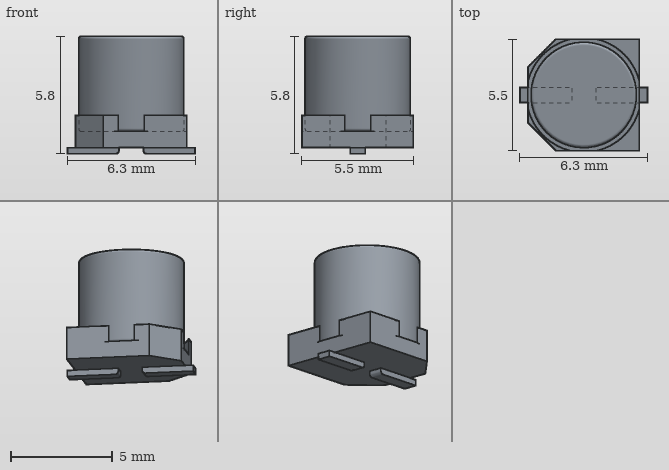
import cadquery as cq

base_size = 5.5
base_height = 1.6
corner_cut = base_size / 4
pocket_diameter = 5.65
pocket_depth = base_height / 2

can_diameter = 5.2
rim_radius = 0.15

overall_length = 6.3
overall_height = 5.8
lead_thickness = 0.3
lead_width = 0.75
lead_gap = 1.2
lead_tip_radius = lead_thickness / 2

base_bottom = lead_thickness
base_top = base_bottom + base_height
pocket_floor = base_top - pocket_depth
can_height = overall_height - pocket_floor


def make_base():
    plate = (
        cq.Workplane("XY")
        .workplane(offset=base_bottom)
        .rect(base_size, base_size)
        .extrude(base_height)
        .edges("|Z and <X")
        .chamfer(corner_cut)
    )
    pocket = (
        cq.Workplane("XY")
        .workplane(offset=pocket_floor)
        .circle(pocket_diameter / 2)
        .extrude(pocket_depth)
    )
    return plate.cut(pocket)


def make_can():
    return (
        cq.Workplane("XY")
        .workplane(offset=pocket_floor)
        .circle(can_diameter / 2)
        .extrude(can_height)
        .edges()
        .fillet(rim_radius)
    )


def make_lead(side):
    """Lead strip on the -X side (side = -1) or the +X side (side = 1)."""
    length = (overall_length - lead_gap) / 2
    center_x = side * (lead_gap + length) / 2
    inner_end = "<X" if side > 0 else ">X"
    return (
        cq.Workplane("XY")
        .center(center_x, 0)
        .rect(length, lead_width)
        .extrude(lead_thickness)
        .faces(inner_end)
        .edges("<Z")
        .fillet(lead_tip_radius)
    )


base = make_base()
can = make_can()
leads = [make_lead(side) for side in (-1, 1)]

result = cq.Compound.makeCompound(
    [base.val(), can.val()] + [lead.val() for lead in leads]
)